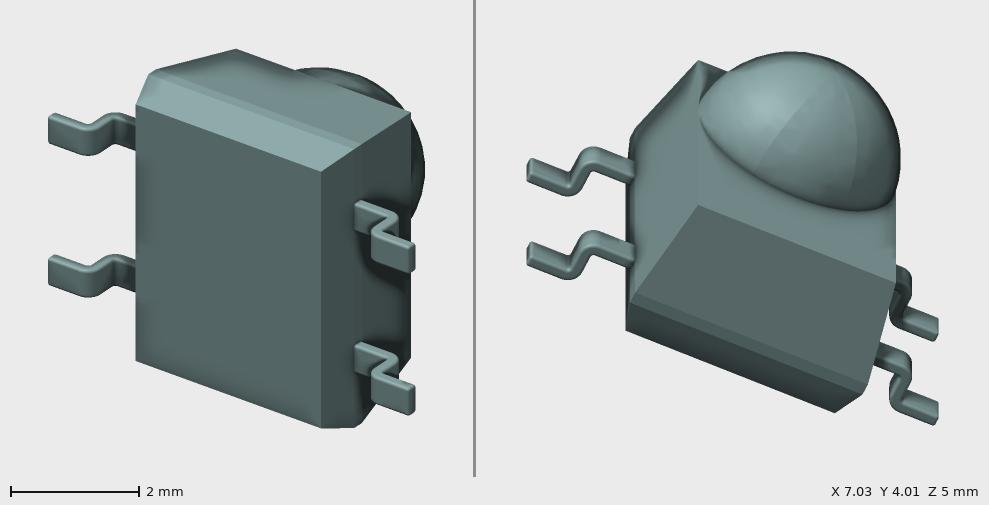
import cadquery as cq
import math


housing_width = 4.0
housing_height = 5.0
base_depth = 0.6
band_depth = 0.2
upper_depth = 1.7
base_inset = 0.2
upper_draft = 10.0
band_top = base_depth + band_depth
housing_top = band_top + upper_depth
upper_inset = upper_depth * math.tan(math.radians(upper_draft))

lens_radius = 1.5
lens_half_width = housing_width / 2 - upper_inset
lens_crown_radius = (lens_half_width**2 + lens_radius**2) / (2 * lens_radius)
lens_crown_offset = lens_crown_radius - lens_radius
lens_joint = math.radians(60)
lens_section_count = 9
lens_center_z = housing_height / 2 - upper_inset - lens_radius

lead_width = 0.5
lead_thickness = 0.2
lead_edge_radius = 0.05
lead_tip_radius = 0.045
lead_pitch = 2.54
lead_bend_radius = 0.15
lead_riser_x = 2.75
lead_tip_x = 3.515
foot_drop = 0.01
lead_exit_x = housing_width / 2
lead_exit_y = base_depth + lead_thickness / 2
foot_center_y = lead_thickness / 2 - foot_drop


def housing_section(y, inset):
    """Rectangular wire at depth y, shrunk by inset on every side."""
    section = cq.Workplane("XZ", origin=(0, y, 0))
    section = section.rect(housing_width - 2 * inset, housing_height - 2 * inset)
    return section.wires().val()


def make_housing():
    """Stack the base, the band and the upper part into one solid."""
    sections = [
        (0, base_inset),
        (base_depth, 0),
        (band_top, 0),
        (housing_top, upper_inset),
    ]
    wires = [housing_section(y, inset) for y, inset in sections]
    ruled = True
    return cq.Workplane(cq.Solid.makeLoft(wires, ruled))


def dome_section(y):
    """Elliptical section of the dome at height y above its base, made of four arcs."""
    half_width = math.sqrt(lens_crown_radius**2 - (y + lens_crown_offset) ** 2)
    half_height = math.sqrt(lens_radius**2 - y**2)
    joint = math.degrees(math.atan2(math.sin(lens_joint) / half_height, math.cos(lens_joint) / half_width))
    breaks = [joint, 180 - joint, 180 + joint, 360 - joint, 360 + joint]
    plane_normal = cq.Vector(0, -1, 0)
    width_direction = cq.Vector(1, 0, 0)
    center = cq.Vector(0, housing_top + y, lens_center_z)
    arcs = []
    for start, end in zip(breaks, breaks[1:]):
        arcs.append(
            cq.Edge.makeEllipse(
                half_width,
                half_height,
                center,
                plane_normal,
                width_direction,
                start,
                end,
            )
        )
    return cq.Wire.assembleEdges(arcs)


def make_lens():
    """Loft the elliptical sections smoothly up to the apex."""
    sections = []
    for step in range(lens_section_count):
        elevation = math.pi / 2 * step / lens_section_count
        sections.append(dome_section(lens_radius * math.sin(elevation)))
    apex = cq.Vertex.makeVertex(0, housing_top + lens_radius, lens_center_z)
    return cq.Workplane(cq.occ_impl.shapes.loft(*sections, apex, cap=True))


def make_lead():
    """Sweep the rounded strip along its bent centre line on the +X side, centred on Z = 0."""
    bend = lead_bend_radius
    arc_point = bend * math.sqrt(0.5)
    upper_center = (lead_riser_x - bend, lead_exit_y - bend)
    lower_center = (lead_riser_x + bend, foot_center_y + bend)
    path = (
        cq.Workplane("XY")
        .moveTo(lead_exit_x, lead_exit_y)
        .lineTo(upper_center[0], lead_exit_y)
        .threePointArc(
            (upper_center[0] + arc_point, upper_center[1] + arc_point),
            (lead_riser_x, upper_center[1]),
        )
        .lineTo(lead_riser_x, lower_center[1])
        .threePointArc(
            (lower_center[0] - arc_point, lower_center[1] - arc_point),
            (lower_center[0], foot_center_y),
        )
        .lineTo(lead_tip_x, foot_center_y)
    )
    strip_section = cq.Sketch().rect(lead_thickness, lead_width).vertices().fillet(lead_edge_radius)
    lead = (
        cq.Workplane("YZ", origin=(lead_exit_x, lead_exit_y, 0))
        .placeSketch(strip_section)
        .sweep(path)
    )
    return lead.faces(">X").edges().fillet(lead_tip_radius)


housing = make_housing()
lens = make_lens()
right_lead = make_lead()
left_lead = right_lead.mirror("YZ")
leads = []
for side_lead in (left_lead, right_lead):
    for lead_z in (-lead_pitch / 2, lead_pitch / 2):
        leads.append(side_lead.translate((0, 0, lead_z)).val())

result = cq.Compound.makeCompound([housing.val(), lens.val(), *leads])